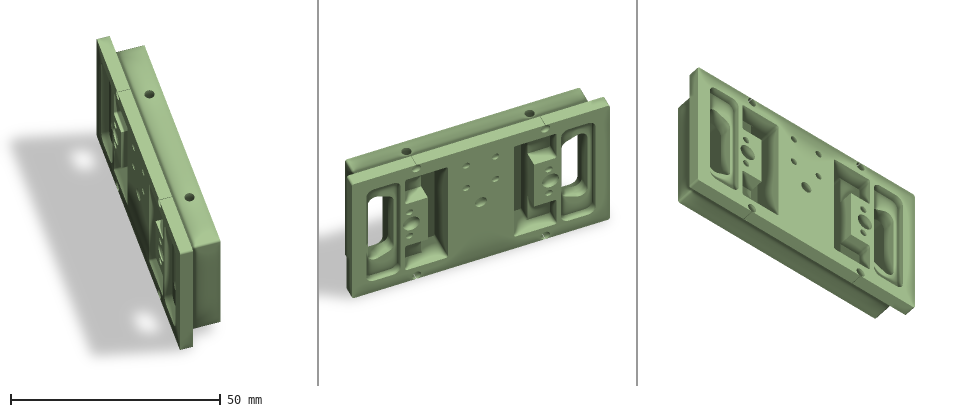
import cadquery as cq
import math

length = 67.0
depth = 11.0
height = 39.0
plate_thickness = 3.2
body_length = 61.1
body_height = 32.95
plate_corner_radius = 0.55
body_corner_radius = 0.55

recess_x = 25.3
recess_width = 8.9
recess_height = 31.3
recess_radius = 2.0
front_recess_depth = 2.0
web_thickness = 3.5
window_x = 25.2
window_width = 6.7
window_wide_height = 23.2
window_flank_angle = 22.0
window_radius = 2.0

pocket_inner_x = 8.6
slot_outer_x = 13.8
pocket_outer_x = 19.7
pocket_height = 30.95
slot_depth = 8.0
pocket_depth = 4.0
island_height = 14.35
pocket_radius = 0.55

flange_hole_diameter = 2.4
flange_hole_x = 16.75
flange_hole_breakout = 0.0015
flange_hole_z = height / 2 - flange_hole_diameter / 2 + flange_hole_breakout
center_hole_diameter = 3.1
shaft_hole_diameter = 4.35
shaft_hole_x = 18.1
screw_hole_diameter = 1.9
screw_hole_depth = 6.0
island_screw_shift = -0.5
island_screw_z = 4.0
pattern_screw_pitch = 7.65
pattern_screw_z = 10.2
side_hole_diameter = 2.4
side_hole_depth = 6.0
side_hole_x = 16.0
side_hole_y = 7.8
drill_point_angle = 118.0


def block(x_range, z_range, y_start, y_size, radius):
    """Box running along +Y from y_start, with its Y edges rounded."""
    x_size = x_range[1] - x_range[0]
    z_size = z_range[1] - z_range[0]
    box = cq.Workplane("XY").box(x_size, y_size, z_size, centered=False)
    box = box.translate((x_range[0], y_start, z_range[0]))
    return box.edges("|Y").fillet(radius)


def centered_block(x_center, x_size, z_size, y_start, y_size, radius):
    """Block centered on z = 0 and on the given x."""
    x_range = (x_center - x_size / 2, x_center + x_size / 2)
    return block(x_range, (-z_size / 2, z_size / 2), y_start, y_size, radius)


def through_hole(x, z, diameter):
    """Round cutter along Y through the whole part."""
    start = cq.Vector(x, 0, z)
    return cq.Workplane(cq.Solid.makeCylinder(diameter / 2, depth, start, cq.Vector(0, 1, 0)))


def drilled_hole(start, direction, diameter, hole_depth):
    """Blind cutter with a conical drill point."""
    radius = diameter / 2
    point_length = radius / math.tan(math.radians(drill_point_angle / 2))
    start = cq.Vector(*start)
    direction = cq.Vector(*direction)
    shank = cq.Solid.makeCylinder(radius, hole_depth, start, direction)
    point = cq.Solid.makeCone(radius, 0, point_length, start + direction * hole_depth, direction)
    return cq.Workplane(shank.fuse(point))


def front_screw_hole(x, z):
    """Blind screw hole drilled into the front face."""
    return drilled_hole((x, 0, z), (0, 1, 0), screw_hole_diameter, screw_hole_depth)


def recess(y_start, y_size):
    """Rounded rectangular connector recess of the -X side."""
    return centered_block(-recess_x, recess_width, recess_height, y_start, y_size, recess_radius)


def window():
    """Rounded trapezoid through the -X web, tall side outward."""
    outer_x = -window_x - window_width / 2
    inner_x = -window_x + window_width / 2
    outer_z = window_wide_height / 2
    inner_z = outer_z - window_width * math.tan(math.radians(window_flank_angle))
    outline = [(outer_x, -outer_z), (inner_x, -inner_z), (inner_x, inner_z), (outer_x, outer_z)]
    cutter = cq.Workplane("XZ").polyline(outline).close().extrude(-depth)
    return cutter.edges("|Y").fillet(window_radius)


def left_openings():
    """All openings of the -X half that mirror to the +X half."""
    web_back = front_recess_depth + web_thickness
    front_recess = recess(0, front_recess_depth)
    back_recess = recess(web_back, depth - web_back)
    half_height = pocket_height / 2
    slot = block(
        (-slot_outer_x, -pocket_inner_x), (-half_height, half_height), 0, slot_depth, pocket_radius
    )
    cutters = front_recess.union(back_recess).union(window()).union(slot)
    for z_range in ((island_height / 2, half_height), (-half_height, -island_height / 2)):
        pocket = block((-pocket_outer_x, -pocket_inner_x), z_range, 0, pocket_depth, pocket_radius)
        cutters = cutters.union(pocket)
    cutters = cutters.union(through_hole(-shaft_hole_x, 0, shaft_hole_diameter))
    for z in (-flange_hole_z, flange_hole_z):
        cutters = cutters.union(through_hole(-flange_hole_x, z, flange_hole_diameter))
    side_start = (-side_hole_x, side_hole_y, body_height / 2)
    return cutters.union(drilled_hole(side_start, (0, 0, -1), side_hole_diameter, side_hole_depth))


plate = centered_block(0, length, height, 0, plate_thickness, plate_corner_radius)
body = centered_block(0, body_length, body_height, 0, depth, body_corner_radius)
result = plate.union(body)

openings = left_openings()
result = result.cut(openings).cut(openings.mirror("YZ"))
result = result.cut(through_hole(0, 0, center_hole_diameter))

for shaft_x in (-shaft_hole_x, shaft_hole_x):
    for z in (-island_screw_z, island_screw_z):
        result = result.cut(front_screw_hole(shaft_x + island_screw_shift, z))

half_pitch = pattern_screw_pitch / 2
for x in (-half_pitch, half_pitch):
    for z in (pattern_screw_z - half_pitch, pattern_screw_z + half_pitch):
        result = result.cut(front_screw_hole(x, z))